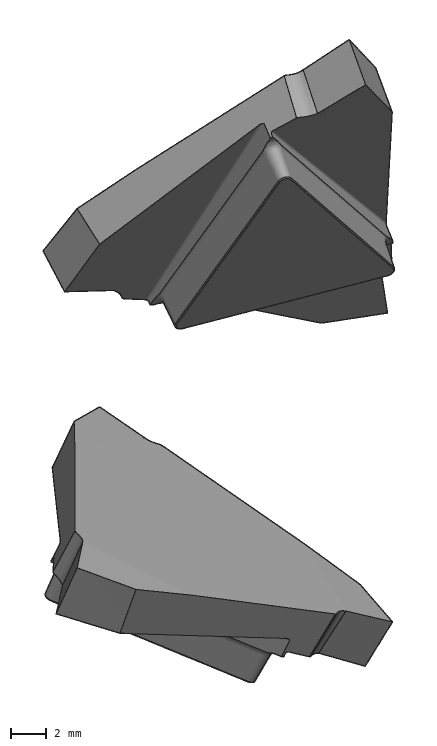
import cadquery as cq
import math

CORNERS = 3
STEP_ANGLE = 360 / CORNERS

SIDE = 7.1
TIP = (5.53, 11.17)
SHOULDER = (SIDE, 7.95)
SIDE_END = (SIDE, -6.14)
NOTCH_LIP_MIDDLE = (7.05, -6.27)
NOTCH_LIP = (6.93, -6.37)
NOTCH_BEND = (6.78, -6.57)
NOTCH_MIDDLE = (6.65, -6.85)
NOTCH_START = (6.63, -7.15)

LOFT_HEIGHT = 3.65
TIP_SHIFT = (-0.09, -0.25)
SHOULDER_SHIFT = (0.0, -0.52)
SIDE_END_SHIFT = (0.0, 0.35)
NOTCH_SHIFT = (-0.1, 0.2)
NOTCH_START_SHIFT = (-0.17, 0.3)

CREASE_SIDE_Z = 4.05
BACK_TIP_RISE = 0.14

FLOOR_AT_AXIS = 2.02
FLOOR_SLOPE = 6.0
FLOOR_DIRECTION = 65.6
FLOOR_FILLET = 0.15

CORE_INRADIUS = 4.15
CORE_TOP = 3.19
BOSS_INRADIUS = 4.03
BOSS_TOP = 5.53
BOSS_CORNER_RADIUS = 0.55
BOSS_DRAFT = 3.0
BOSS_FLARE_RADIUS = 0.43
BOSS_EDGE_CHAMFER = 0.06

REACH = 25.84


def turned(point, corner):
    """Turn a (Y, Z) point clockwise to the given corner."""
    angle = math.radians(-STEP_ANGLE * corner)
    y, z = point
    return (
        y * math.cos(angle) - z * math.sin(angle),
        y * math.sin(angle) + z * math.cos(angle),
    )


def outline(sketch, relief):
    """Draw the plate outline; relief runs from 0 (back) to 1 (top of the loft)."""

    def place(point, shift, corner):
        moved = (point[0] + relief * shift[0], point[1] + relief * shift[1])
        return turned(moved, corner)

    sketch = sketch.moveTo(*place(TIP, TIP_SHIFT, 0))
    for corner in range(CORNERS):
        sketch = (
            sketch.lineTo(*place(SHOULDER, SHOULDER_SHIFT, corner))
            .lineTo(*place(SIDE_END, SIDE_END_SHIFT, corner))
            .threePointArc(
                place(NOTCH_LIP_MIDDLE, SIDE_END_SHIFT, corner),
                place(NOTCH_LIP, SIDE_END_SHIFT, corner),
            )
            .lineTo(*place(NOTCH_BEND, NOTCH_SHIFT, corner))
            .threePointArc(
                place(NOTCH_MIDDLE, NOTCH_SHIFT, corner),
                place(NOTCH_START, NOTCH_START_SHIFT, corner),
            )
        )
        if corner < CORNERS - 1:
            sketch = sketch.lineTo(*place(TIP, TIP_SHIFT, corner + 1))
    return sketch.close()


def relieved_plate():
    back = outline(cq.Workplane("YZ"), 0)
    return outline(back.workplane(offset=LOFT_HEIGHT), 1).loft(ruled=True)


def triangle(inradius):
    """Equilateral triangle with one vertex towards +Z and a flat side towards -Z."""
    vertex = (0, 2 * inradius)
    return cq.Workplane("YZ").polyline([turned(vertex, i) for i in range(CORNERS)]).close()


def back_facet_cutter():
    """Everything behind the plane through the crease that rises towards the first tip."""
    notch_y, notch_z = turned(NOTCH_START, CORNERS - 1)
    length = math.hypot(notch_y - SIDE, notch_z - CREASE_SIDE_Z)
    along_y, along_z = (notch_y - SIDE) / length, (notch_z - CREASE_SIDE_Z) / length
    outward_y, outward_z = along_z, -along_y
    tip_distance = (TIP[0] - SIDE) * outward_y + (TIP[1] - CREASE_SIDE_Z) * outward_z
    slope = BACK_TIP_RISE / tip_distance
    facet = cq.Plane(
        origin=(0, SIDE, CREASE_SIDE_Z),
        xDir=(0, along_y, along_z),
        normal=(1, -slope * outward_y, -slope * outward_z),
    )
    return cq.Workplane(facet).rect(2 * REACH, 2 * REACH).extrude(-REACH)


def floor_cutter():
    """Material to clear above the sloping floor of the first corner, outside the core."""
    apex_z = 2 * CORE_INRADIUS
    half_opening = math.radians(STEP_ANGLE / 2)
    run_y = REACH * math.cos(half_opening)
    run_z = REACH * math.sin(half_opening)
    region = (
        cq.Workplane("YZ")
        .polyline([(0, apex_z), (run_y, apex_z - run_z), (run_y, apex_z + run_z)])
        .close()
        .extrude(REACH)
    )
    slope = math.tan(math.radians(FLOOR_SLOPE))
    direction = math.radians(FLOOR_DIRECTION)
    floor = cq.Plane(
        origin=(FLOOR_AT_AXIS, 0, 0),
        xDir=(0, math.sin(direction), -math.cos(direction)),
        normal=(1, -slope * math.cos(direction), -slope * math.sin(direction)),
    )
    above_floor = cq.Workplane(floor).rect(2 * REACH, 2 * REACH).extrude(REACH)
    core_wall = cq.Vector(0, math.sin(half_opening), math.cos(half_opening))
    cutter = region.intersect(above_floor)
    wall_face = min(cutter.faces().vals(), key=lambda face: face.normalAt().dot(core_wall))
    foot = min(wall_face.Edges(), key=lambda edge: edge.Center().x)
    return cutter.newObject([foot]).fillet(FLOOR_FILLET)


def boss():
    """Drafted boss with a flared foot, trimmed to the core walls and the plate outline."""
    slab = cq.Workplane("YZ").rect(REACH, REACH).extrude(CORE_TOP)
    rounded = triangle(BOSS_INRADIUS).extrude(BOSS_TOP).edges("|X").fillet(BOSS_CORNER_RADIUS)
    foot_outline = rounded.faces("<X").wires().val().translate((CORE_TOP, 0, 0))
    raised = (
        cq.Workplane("YZ", origin=(CORE_TOP, 0, 0))
        .add(foot_outline)
        .toPending()
        .extrude(BOSS_TOP - CORE_TOP, taper=BOSS_DRAFT)
        .faces(">X")
        .edges()
        .chamfer(BOSS_EDGE_CHAMFER)
    )
    joined = slab.union(raised)
    slab_top = min(joined.faces("|X").vals(), key=lambda face: abs(face.Center().x - CORE_TOP))
    foot_edges = slab_top.innerWires()[0].Edges()
    flared = joined.newObject(foot_edges).fillet(BOSS_FLARE_RADIUS)
    plate_column = outline(cq.Workplane("YZ"), 0).extrude(BOSS_TOP)
    return flared.cut(slab).intersect(core_column()).intersect(plate_column)


def core_column():
    return triangle(CORE_INRADIUS).extrude(BOSS_TOP)


plate = relieved_plate().cut(core_column().translate((CORE_TOP, 0, 0)))

facet_cutter = back_facet_cutter()
corner_cutter = floor_cutter()
for corner in range(CORNERS):
    turn = -STEP_ANGLE * corner
    plate = plate.cut(corner_cutter.rotate((0, 0, 0), (1, 0, 0), turn))
    plate = plate.cut(facet_cutter.rotate((0, 0, 0), (1, 0, 0), turn))

result = plate.union(boss())